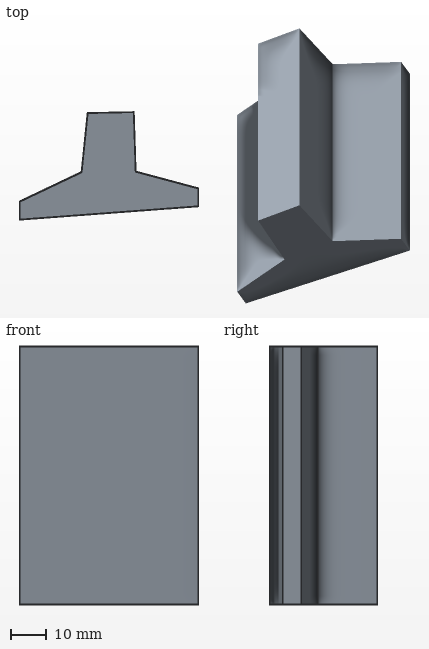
import cadquery as cq

width = 49.86
depth = 30.06
height = 72.0

front_rise = 3.73
left_edge_thickness = 5.1
right_edge_thickness = 5.05

root_left_x = 17.25
root_left_y = 13.3
root_right_x = 32.4
root_right_y = 13.45
tip_left_x = 18.95
tip_right_x = 31.87
tip_drop = 0.27


def section_outline():
    """Corners of the T-shaped section, anticlockwise from the front left corner."""
    return [
        (0, 0),
        (width, front_rise),
        (width, front_rise + right_edge_thickness),
        (root_right_x, root_right_y),
        (tip_right_x, depth),
        (tip_left_x, depth - tip_drop),
        (root_left_x, root_left_y),
        (0, left_edge_thickness),
    ]


result = cq.Workplane("XY").polyline(section_outline()).close().extrude(height)